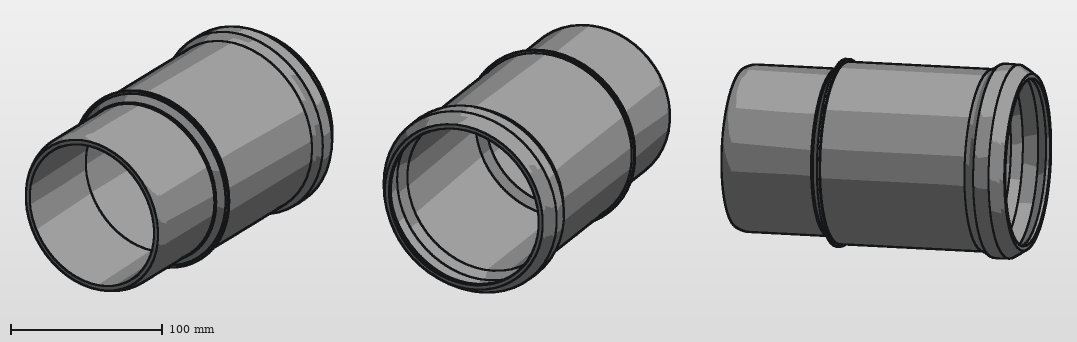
import cadquery as cq

LENGTH = 195.2
SOCKET_END = LENGTH / 2

BEAD_RADIUS = 64.5
BEAD_EDGE_RADIUS = 64.2
BEAD_SHOULDER_RADIUS = 62.5
BEAD_FOOT_RADIUS = 61.9
MOUTH_RADIUS = 120.5 / 2
MOUTH_TIP_RADIUS = 58.5
TUBE_RADIUS = 120.8 / 2
COLLAR_RADIUS = 124.3 / 2
COLLAR_CONE_FOOT_RADIUS = 56.0
SPIGOT_RADIUS = 110.9 / 2
SPIGOT_TIP_RADIUS = 53.0
SPIGOT_BORE_RADIUS = 99.7 / 2
TUBE_BORE_RADIUS = 111.0 / 2
WALL = TUBE_RADIUS - TUBE_BORE_RADIUS
GROOVE_RADIUS = BEAD_RADIUS - WALL

MOUTH_STATION = 2.7
SHOULDER_STATION = 6.0
BEAD_START = 9.2
BEAD_END = 19.7
BEAD_FOOT = 23.0
TUBE_START = 26.7
COLLAR_START = 125.5
COLLAR_WIDTH = 1.8
COLLAR_CONE_END = 131.8
SPIGOT_START = 133.1
SPIGOT_BORE_START = 130.0
SPIGOT_TIP_LENGTH = 7.2
COLLAR_END = COLLAR_START + COLLAR_WIDTH
SPIGOT_TIP_START = LENGTH - SPIGOT_TIP_LENGTH
BEAD_MIDDLE = (BEAD_START + BEAD_END) / 2

TIP_BULGE = 0.5


def at(radius, station):
    """Point of the half section at a radius and a distance from the socket mouth."""
    return (radius, SOCKET_END - station)


outer_body = (
    cq.Workplane("XY")
    .moveTo(*at(0, 0))
    .lineTo(*at(MOUTH_TIP_RADIUS, 0))
    .lineTo(*at(MOUTH_RADIUS, MOUTH_STATION))
    .lineTo(*at(BEAD_SHOULDER_RADIUS, SHOULDER_STATION))
    .lineTo(*at(BEAD_EDGE_RADIUS, BEAD_START))
    .threePointArc(at(BEAD_RADIUS, BEAD_MIDDLE), at(BEAD_EDGE_RADIUS, BEAD_END))
    .lineTo(*at(BEAD_FOOT_RADIUS, BEAD_FOOT))
    .lineTo(*at(TUBE_RADIUS, TUBE_START))
    .lineTo(*at(TUBE_RADIUS, COLLAR_START))
    .lineTo(*at(COLLAR_RADIUS, COLLAR_START))
    .lineTo(*at(COLLAR_RADIUS, COLLAR_END))
    .lineTo(*at(TUBE_RADIUS, COLLAR_END))
    .lineTo(*at(COLLAR_CONE_FOOT_RADIUS, COLLAR_CONE_END))
    .lineTo(*at(SPIGOT_RADIUS, SPIGOT_START))
    .lineTo(*at(SPIGOT_RADIUS, SPIGOT_TIP_START))
    .threePointArc(
        at((SPIGOT_RADIUS + SPIGOT_TIP_RADIUS) / 2 + TIP_BULGE, LENGTH - SPIGOT_TIP_LENGTH / 2),
        at(SPIGOT_TIP_RADIUS, LENGTH),
    )
    .lineTo(*at(0, LENGTH))
    .close()
    .revolve(360, (0, 0, 0), (0, 1, 0))
)

bore = (
    cq.Workplane("XY")
    .moveTo(*at(0, 0))
    .lineTo(*at(TUBE_BORE_RADIUS, 0))
    .lineTo(*at(TUBE_BORE_RADIUS, MOUTH_STATION))
    .lineTo(*at(GROOVE_RADIUS, BEAD_START))
    .lineTo(*at(GROOVE_RADIUS, BEAD_END))
    .lineTo(*at(TUBE_BORE_RADIUS, TUBE_START))
    .lineTo(*at(TUBE_BORE_RADIUS, COLLAR_START))
    .lineTo(*at(SPIGOT_BORE_RADIUS, SPIGOT_BORE_START))
    .lineTo(*at(SPIGOT_BORE_RADIUS, LENGTH))
    .lineTo(*at(0, LENGTH))
    .close()
    .revolve(360, (0, 0, 0), (0, 1, 0))
)

result = outer_body.cut(bore)